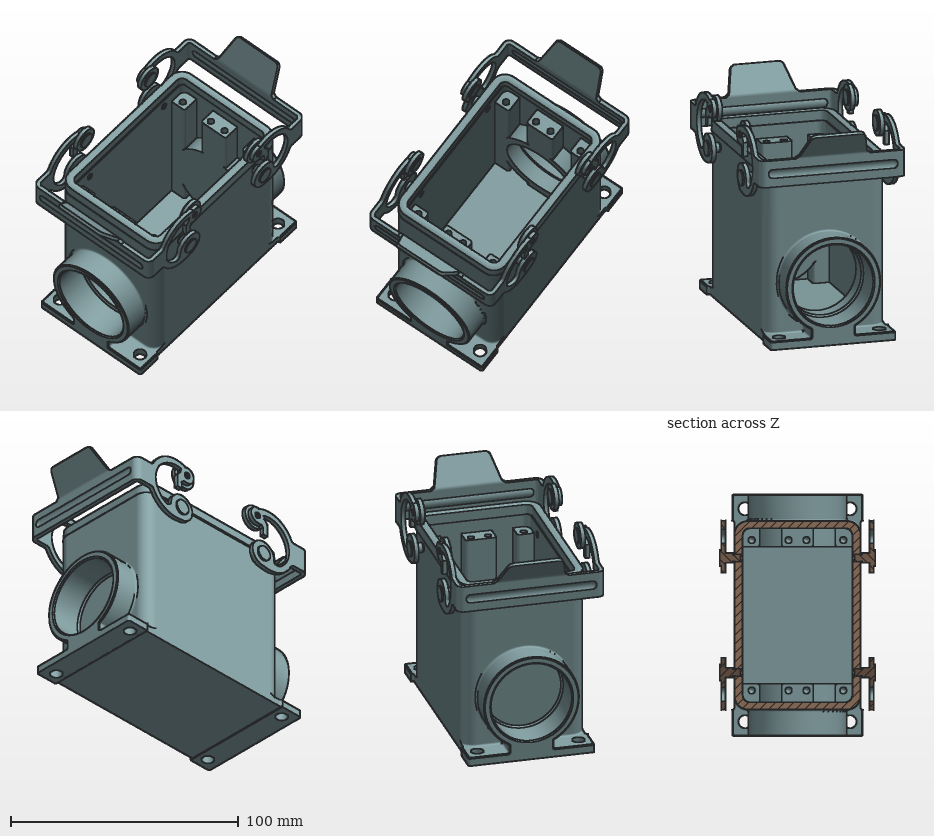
import cadquery as cq
import math

body_x, body_y, body_r = 55.5, 82.9, 6.0
body_bottom = 0.5
body_top = 76.5
floor_top = 4.4
cavity_x, cavity_y, cavity_r = 48.1, 76.4, 3.2

rim_inner_x, rim_inner_y = 49.1, 74.4
rim_inner_r = 2.8
rim_width = 4.0
rim_draft = 0.4
rim_top = 81.5
rim_crown = 0.4

flange_x = 57.5
flange_end = 53.2
flange_start = 41.6
flange_thickness = 3.9
flange_corner_r = 1.0
flange_hole_x, flange_hole_y, flange_hole_d = 23.1, 46.8, 5.6

port_z = 27.3
port_r = 21.7
port_bore_r, port_bore_depth = 18.4, 14.7
port_throat_r = 17.5
port_mouth_chamfer = 0.6
port_web_x = 20.1
edge_chamfer = 0.5
root_r = 0.9
notch_r = 1.1

post_face = 30.1
post_top = 70.2
post_embed = 0.6
corner_post_start = 16.6
middle_post_x = 14.0
post_corner_r = 1.1
screw_xs, screw_y = (3.9, 20.1), 33.0
screw_d, screw_depth, screw_cone = 3.0, 9.8, 0.9

sheet = 2.0
lever_x = 67.0
strap_end = 52.8
strap_bottom, strap_top = 74.3, 86.3
strap_corner_r = 3.2

hook_y, hook_z = 28.7, (strap_bottom + strap_top) / 2
hook_outer_r, hook_inner_r = 15.5, 12.4
hook_root_r = 1.8
pivot_y, pivot_z, pivot_eye_r = 25.2, 71.7, 6.5
pivot_root_r = 2.3
tip_y, tip_z, tip_r = 21.7, 90.6, 4.0
tail_outer_y, tail_inner_y, tail_bottom = 27.8, 25.0, 82.0
tail_shoulder_z, tail_step_z = 88.4, 85.6

head_r, head_height = 3.5, 0.7
hub_r, hub_end = 2.2, 28.4
roller_r = 5.8
pin_end_gap = 0.2
pin_r = 1.5
dimple_r, dimple_depth = 0.9, 0.7

bead_half_height, bead_depth = 2.0, 0.6
bead_half_length = 27.8

tab_angle = 50.9
tab_bend_r = 2.1
tab_tip_z = 98.6
tab_root_x, tab_neck_x, tab_tip_x = 17.2, 15.3, 11.8
tab_neck_z = 87.7
tab_corner_r = 2.5


near = 0.1


def box(x0, x1, y0, y1, z0, z1):
    return cq.Workplane("XY").box(x1 - x0, y1 - y0, z1 - z0, centered=False).translate((x0, y0, z0))


def round_block(x, y, r, z0, z1):
    """Upright block with rounded vertical edges, centred on the Z axis."""
    return cq.Workplane("XY", origin=(0, 0, z0)).rect(x, y).extrude(z1 - z0).edges("|Z").fillet(r)


def rod_x(r, y, z, x0, x1):
    return cq.Workplane("YZ", origin=(x0, y, z)).circle(r).extrude(x1 - x0)


def rod_y(r, z, y0, y1):
    return cq.Workplane("XZ", origin=(0, y0, z)).circle(r).extrude(y0 - y1)


def mirrored(shape, plane):
    return shape.union(shape.mirror(plane))


def concave_corner(plane, origin, towards_x, towards_y, r=root_r):
    """Quarter-round root profile in the corner of two faces, backed by a wedge inside them."""
    bulge = r * (1 - math.sqrt(0.5))
    return (
        cq.Workplane(plane, origin=origin)
        .moveTo(towards_x * r, 0)
        .threePointArc((towards_x * bulge, towards_y * bulge), (0, towards_y * r))
        .lineTo(-towards_x * r, 0)
        .lineTo(0, -towards_y * r)
        .close()
    )


def rim_ring():
    """Rim swept around the opening: leaning outer face and a crowned top."""
    inner_y = rim_inner_y / 2
    outer_y = inner_y + rim_width
    shoulder = rim_top - rim_crown
    profile = (
        cq.Workplane("YZ")
        .moveTo(-inner_y, body_top)
        .lineTo(-outer_y, body_top)
        .lineTo(-outer_y + rim_draft, shoulder)
        .threePointArc((-(inner_y + outer_y - rim_draft) / 2, rim_top), (-inner_y, shoulder))
        .close()
    )
    half_x = rim_inner_x / 2
    corner = rim_inner_r * (1 - math.sqrt(0.5))
    path = (
        cq.Workplane("XY", origin=(0, 0, body_top))
        .moveTo(0, -inner_y)
        .lineTo(half_x - rim_inner_r, -inner_y)
        .threePointArc((half_x - corner, -inner_y + corner), (half_x, -inner_y + rim_inner_r))
        .lineTo(half_x, 0)
    )
    quarter = profile.sweep(path)
    return mirrored(mirrored(quarter, "YZ"), "XZ")


def end_block():
    """Flange, web and outer cable port of the -Y end."""
    flange = (
        box(-flange_x / 2, flange_x / 2, -flange_end, -flange_start, 0, flange_thickness)
        .edges("|Z and <Y").fillet(flange_corner_r)
    )
    half_web = port_web_x / 2
    web = box(-half_web, half_web, -flange_end, -flange_start, 0, port_z)
    block = flange.union(web).union(rod_y(port_r, port_z, -flange_end, -flange_start))
    web_edges = block.edges("|Y").filter(
        lambda e: abs(abs(e.Center().x) - half_web) < near and e.Center().z > flange_thickness - near
    )
    block = web_edges.fillet(root_r)
    face_edges = block.faces("<Y").edges().filter(lambda e: e.Center().z > flange_corner_r)
    return face_edges.chamfer(edge_chamfer)


def port_root():
    """Fillet collar between the -Y port and its wall."""
    wall = -body_y / 2
    bulge = root_r * (1 - math.sqrt(0.5))
    return (
        cq.Workplane("XY", origin=(0, 0, port_z))
        .moveTo(0, wall - root_r)
        .lineTo(port_r, wall - root_r)
        .threePointArc((port_r + bulge, wall - bulge), (port_r + root_r, wall))
        .lineTo(port_r + root_r, wall + root_r)
        .lineTo(0, wall + root_r)
        .close()
        .revolve(360, (0, 0, 0), (0, 1, 0))
    )


def end_foot():
    """Square plate below the rounded wall corners, with the roots that join it to flange and wall."""
    half_x = body_x / 2
    straight_end = body_y / 2 - body_r
    foot = box(-half_x, half_x, -flange_start, -straight_end, body_bottom, flange_thickness)
    for side in (-1, 1):
        notch = concave_corner("XY", (side * half_x, -flange_start, body_bottom), side, 1, notch_r)
        foot = foot.union(notch.extrude(flange_thickness - body_bottom))

    corner = body_r * (1 - math.sqrt(0.5))
    path = (
        cq.Workplane("XY", origin=(0, 0, flange_thickness))
        .moveTo(-half_x, -straight_end)
        .threePointArc((-half_x + corner, -body_y / 2 + corner), (-half_x + body_r, -body_y / 2))
        .lineTo(half_x - body_r, -body_y / 2)
        .threePointArc((half_x - corner, -body_y / 2 + corner), (half_x, -straight_end))
    )
    root = concave_corner("XZ", (-half_x, -straight_end, flange_thickness), -1, 1).sweep(path)
    footprint = box(-half_x, half_x, -flange_end, -straight_end, 0, port_z)
    return foot.union(root.intersect(footprint))


def web_roots():
    """Fillets between the -Y wall and the two sides of the web below the port."""
    top = port_z - math.sqrt(port_r**2 - (port_web_x / 2 + root_r) ** 2) + root_r
    roots = cq.Workplane("XY")
    for side in (-1, 1):
        profile = concave_corner("XY", (side * port_web_x / 2, -body_y / 2, flange_thickness), side, -1)
        roots = roots.add(profile.extrude(top - flange_thickness))
    return roots.combine()


def inner_end():
    """Screw posts and the inner port boss they stand on, at the -Y end of the cavity."""
    wall_x = cavity_x / 2 + post_embed
    wall_y = cavity_y / 2 + post_embed
    posts = rod_y(port_r, port_z, -wall_y, -post_face)
    spans = (
        (-wall_x, -corner_post_start),
        (-middle_post_x / 2, middle_post_x / 2),
        (corner_post_start, wall_x),
    )
    for x0, x1 in spans:
        post = box(x0, x1, -wall_y, -post_face, floor_top - post_embed, post_top)
        free_edges = post.edges("|Z and >Y").filter(lambda e: abs(e.Center().x) < wall_x)
        posts = posts.union(free_edges.fillet(post_corner_r))
    return posts


def screw_holes():
    """Blind holes with conical ends in the posts of the -Y end."""
    half = screw_d / 2
    drill = (
        cq.Workplane("XZ")
        .polyline([(0, 0), (half, 0), (half, -screw_depth), (0, -screw_depth - screw_cone)])
        .close()
        .revolve(360, (0, 0, 0), (0, 1, 0))
    )
    holes = cq.Workplane("XY")
    for x in screw_xs:
        for side in (-1, 1):
            holes = holes.add(drill.translate((side * x, -screw_y, post_top)))
    return holes.combine()


def port_bore():
    """Bore of the -Y port, chamfered at its mouth and tapering to the throat at its end."""
    mouth_r = port_bore_r + port_mouth_chamfer
    bore_end = -flange_end + port_bore_depth
    taper_end = bore_end + port_bore_r - port_throat_r
    return (
        cq.Workplane("XY", origin=(0, 0, port_z))
        .moveTo(0, -flange_end)
        .lineTo(mouth_r, -flange_end)
        .lineTo(port_bore_r, -flange_end + port_mouth_chamfer)
        .lineTo(port_bore_r, bore_end)
        .lineTo(port_throat_r, taper_end)
        .lineTo(0, taper_end)
        .close()
        .revolve(360, (0, 0, 0), (0, 1, 0))
    )


def make_housing():
    walls = round_block(body_x, body_y, body_r, body_bottom, body_top)
    cavity = round_block(cavity_x, cavity_y, cavity_r, floor_top, body_top)
    outer_end = end_block().union(end_foot()).union(port_root()).union(web_roots())

    housing = walls.union(mirrored(outer_end, "XZ")).cut(cavity)
    housing = housing.union(mirrored(inner_end(), "XZ")).union(rim_ring())
    housing = housing.cut(mirrored(screw_holes(), "XZ"))

    housing = housing.cut(port_bore()).cut(port_bore().mirror("XZ"))
    housing = housing.cut(rod_y(port_throat_r, port_z, -flange_end, -post_face))

    for x in (-flange_hole_x, flange_hole_x):
        for y in (-flange_hole_y, flange_hole_y):
            hole = cq.Workplane("XY", origin=(x, y, 0)).circle(flange_hole_d / 2).extrude(flange_thickness)
            housing = housing.cut(hole)

    for y in (-pivot_y, pivot_y):
        housing = housing.cut(rod_x(pin_r, y, pivot_z, -body_x, body_x))
    return housing


arm_out = lever_x / 2
arm_in = arm_out - sheet
strap_in = strap_end - sheet


def on_circle(edge, y, z, r):
    """Whether an edge along X lies on the circle of radius r about (y, z)."""
    return abs(math.hypot(edge.Center().y - y, edge.Center().z - z) - r) < near


def hook_arm():
    """One flat C-shaped arm on the +X side, from the strap to the pivot eye and the roller tip."""

    def disc(r, y, z):
        return rod_x(r, y, z, arm_in, arm_out)

    opening = disc(hook_inner_r, hook_y, hook_z)
    root = hook_y + math.sqrt(hook_outer_r**2 - (strap_top - hook_z) ** 2)
    blank = disc(hook_outer_r, hook_y, hook_z).union(
        box(arm_in, arm_out, hook_y, strap_end - strap_corner_r, strap_bottom, strap_top)
    )
    blank = blank.edges("|X").filter(lambda e: abs(e.Center().y - root) < near).fillet(hook_root_r)
    inboard = box(arm_in, arm_out, hook_y - 2 * hook_outer_r, tip_y, 0, 2 * hook_z)
    arm = blank.cut(opening).cut(inboard)

    arm = arm.union(disc(pivot_eye_r, pivot_y, pivot_z))
    inside_corner = arm.edges("|X").filter(
        lambda e: on_circle(e, hook_y, hook_z, hook_inner_r) and on_circle(e, pivot_y, pivot_z, pivot_eye_r)
    )
    arm = inside_corner.fillet(pivot_root_r)

    tail = (
        cq.Workplane("YZ", origin=(arm_in, 0, 0))
        .moveTo(tail_outer_y, tail_bottom)
        .lineTo(tail_outer_y, tail_shoulder_z)
        .lineTo(tip_y + tip_r, tip_z)
        .lineTo(tip_y, tip_z)
        .lineTo(tip_y, tip_z - tip_r)
        .lineTo(tail_inner_y - (tip_z - tip_r - tail_step_z), tip_z - tip_r)
        .lineTo(tail_inner_y, tail_step_z)
        .lineTo(tail_inner_y, tail_bottom)
        .close()
        .extrude(sheet)
    )
    return arm.union(disc(tip_r, tip_y, tip_z)).union(tail)


def roller():
    """Roller on the inner side of the arm tip, with its rivet head."""
    disc = rod_x(roller_r, tip_y, tip_z, arm_in - sheet, arm_in)
    return disc.union(rod_x(head_r, tip_y, tip_z, arm_in - sheet - head_height, arm_in))


def pivot_pin():
    """Rivet through the pivot eye and the housing wall: head, hub and pin with a dimpled end."""
    pin_end = cavity_x / 2 + pin_end_gap
    pin = rod_x(head_r, pivot_y, pivot_z, arm_in, arm_out + head_height)
    pin = pin.union(rod_x(hub_r, pivot_y, pivot_z, hub_end, arm_out))
    pin = pin.union(rod_x(pin_r, pivot_y, pivot_z, pin_end, arm_out))
    return pin.cut(rod_x(dimple_r, pivot_y, pivot_z, pin_end, pin_end + dimple_depth))


def lever_side():
    """Arm, roller and pivot of the +X side."""
    side = hook_arm().union(roller()).union(pivot_pin())
    side = side.cut(rod_x(pin_r, tip_y, tip_z, arm_out - pin_end_gap, arm_out))
    return side.cut(rod_x(dimple_r, tip_y, tip_z, arm_out - pin_end_gap - dimple_depth, arm_out))


def bead(y):
    """Long round-ended bar whose cap of bead_depth forms the bead, reaching inwards to y."""
    r = (bead_half_height**2 + bead_depth**2) / (2 * bead_depth)
    bar = rod_x(r, y + r, hook_z, -bead_half_length, bead_half_length)
    for x in (-bead_half_length, bead_half_length):
        bar = bar.union(cq.Workplane("XY", origin=(x, y + r, hook_z)).sphere(r))
    return bar


def strap():
    """Bent strap joining the two arms, with a bead pressed inwards."""
    start = strap_end - strap_corner_r
    outer = (
        box(-arm_out, arm_out, 0, strap_end, strap_bottom, strap_top)
        .edges("|Z and >Y").fillet(strap_corner_r)
    )
    inner = (
        box(-arm_in, arm_in, 0, strap_in, strap_bottom, strap_top)
        .edges("|Z and >Y").fillet(strap_corner_r - sheet)
    )
    bent = outer.cut(inner).intersect(box(-arm_out, arm_out, start, strap_end, strap_bottom, strap_top))
    sheet_slab = box(-arm_in, arm_in, strap_in - bead_depth, strap_in + sheet / 2, strap_bottom, strap_top)
    ridge = bead(strap_in - bead_depth).intersect(sheet_slab)
    return bent.union(ridge).cut(bead(strap_end - bead_depth))


def tab():
    """Finger tab: sheet bent outwards above the strap, tapering to a rounded end."""
    angle = math.radians(tab_angle)
    turn = math.pi / 2 - angle
    thickness = sheet * math.sin(angle)

    def bend_point(start_y, turned):
        return (
            start_y + tab_bend_r * (1 - math.cos(turned)),
            strap_top + tab_bend_r * math.sin(turned),
        )

    inner_bend = bend_point(strap_in, turn)
    rise = tab_tip_z - inner_bend[1]
    inner_tip = (inner_bend[0] + rise / math.tan(angle), tab_tip_z)
    outer_tip = (inner_tip[0] + thickness * math.sin(angle), tab_tip_z - thickness * math.cos(angle))

    blade = (
        cq.Workplane("YZ", origin=(-tab_root_x, 0, 0))
        .moveTo(strap_in, strap_top)
        .threePointArc(bend_point(strap_in, turn / 2), inner_bend)
        .lineTo(*inner_tip)
        .lineTo(*outer_tip)
        .lineTo(*bend_point(strap_end, turn))
        .threePointArc(bend_point(strap_end, turn / 2), (strap_end, strap_top))
        .close()
        .extrude(2 * tab_root_x)
    )
    outline = (
        cq.Workplane("XZ", origin=(0, 2 * strap_end, 0))
        .polyline([
            (-tab_root_x, strap_top), (-tab_neck_x, tab_neck_z), (-tab_tip_x, tab_tip_z),
            (tab_tip_x, tab_tip_z), (tab_neck_x, tab_neck_z), (tab_root_x, strap_top),
        ])
        .close()
        .extrude(2 * strap_end)
    )
    tapered = blade.intersect(outline)
    tip_corners = tapered.edges("not |X").filter(
        lambda e: e.Center().z > outer_tip[1] and e.Length() < 2 * thickness
    )
    return tip_corners.fillet(tab_corner_r)


def make_lever():
    return strap().union(mirrored(lever_side(), "YZ")).union(tab())


housing = make_housing()
levers = [make_lever().rotate((0, 0, 0), (0, 0, 1), turn) for turn in (0, 180)]

result = cq.Compound.makeCompound([housing.val()] + [lever.val() for lever in levers])